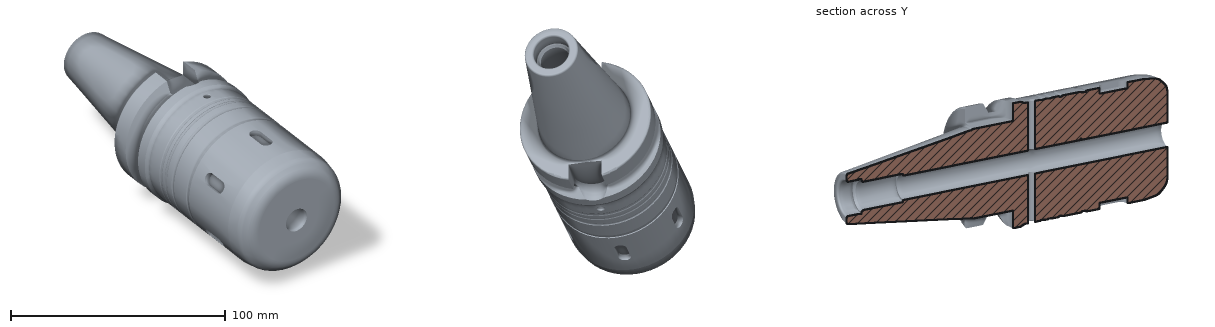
import cadquery as cq
import math


GAUGE_DIAMETER = 44.45
TAPER_LENGTH = 65.4
TAPER_RATIO = 7 / 24
TAPER_TIP_DIAMETER = GAUGE_DIAMETER - TAPER_LENGTH * TAPER_RATIO
TIP_ROUND = 1.0

NECK_FILLET_RADIUS = 1.25

FLANGE_FACE = 2.0
FLANGE_END = 27.0
FLANGE_DIAMETER = 63.0
FLANGE_ROUND = 1.0
V_GROOVE_CENTRE = 16.6
V_GROOVE_WIDTH = 10.0
V_GROOVE_FLOOR_DIAMETER = 53.0
V_GROOVE_FLANK_ANGLE = 30

KEYWAY_WIDTH = 16.0
KEYWAY_FLOOR = 22.6
KEYWAY_END = 22.8

BODY_DIAMETER = 61.0
BODY_START = 29.2
NOSE_LENGTH = 105.0
RING_GROOVE_DIAMETER = 60.6
GROOVE_WALL_SLOPE = 0.5
FIRST_GROOVE_START = 37.4
FIRST_GROOVE_END = 39.8
SECOND_GROOVE_START = 41.7
SECOND_GROOVE_END = 43.6
ROUND_GROOVE_START = 47.3
ROUND_GROOVE_END = 49.2
ROUND_GROOVE_DIAMETER = 60.0
NUT_GAP_DIAMETER = 60.0
NUT_GAP_START = 59.0
NUT_GAP_END = 61.5

NOSE_CONE_START = 92.9
NOSE_CONE_ANGLE = 10
NOSE_CHAMFER_ANGLE = 45
NOSE_FACE_DIAMETER = 43.5
NOSE_FACE_ROUND = 6.3
NOSE_CHAMFER_START = 101.2
NOSE_CORNER_ROUND = 5.0

SLOT_COUNT = 6
SLOT_CENTRE = 76.3
SLOT_LENGTH = 14.4
SLOT_WIDTH = 6.0
SLOT_DEPTH = 3.0

RADIAL_HOLE_DIAMETER = 3.4
RADIAL_HOLE_MOUTH_DIAMETER = 4.0
RADIAL_HOLE_CENTRE = 32.9

BORE_MOUTH_ROUND = 1.0
PILOT_DIAMETER = 17.0
PILOT_DEPTH = 6.8
UNDERCUT_DIAMETER = 17.4
UNDERCUT_WIDTH = 1.0
THREAD_MOUTH_DIAMETER = 16.0
THREAD_DIAMETER = 14.0
THREAD_END_DEPTH = 30.0
THROUGH_DIAMETER = 12.0


def polar_offset(radius, degrees):
    angle = math.radians(degrees)
    return radius * math.cos(angle), radius * math.sin(angle)


def rounded_corner(outline, centre, radius, start_angle, end_angle):
    """Line to the start of an arc about the given centre, then follow the arc to its end."""
    def arc_point(degrees):
        dx, dr = polar_offset(radius, degrees)
        return centre[0] + dx, centre[1] + dr

    middle_angle = (start_angle + end_angle) / 2
    outline = outline.lineTo(*arc_point(start_angle))
    return outline.threePointArc(arc_point(middle_angle), arc_point(end_angle))


def line_through(outline, points):
    for point in points:
        outline = outline.lineTo(*point)
    return outline


def shank_outline(outline):
    """Rounded tip, taper and short straight neck, filleted up to the flange face."""
    gauge_radius = GAUGE_DIAMETER / 2
    taper_angle = math.degrees(math.atan(TAPER_RATIO / 2))
    flank_offset = TIP_ROUND / math.cos(math.radians(taper_angle))
    flank_radius = TAPER_TIP_DIAMETER / 2 + TIP_ROUND * TAPER_RATIO / 2
    tip_centre = (TIP_ROUND - TAPER_LENGTH, flank_radius - flank_offset)
    fillet_centre = (FLANGE_FACE - NECK_FILLET_RADIUS, gauge_radius + NECK_FILLET_RADIUS)
    outline = rounded_corner(outline, tip_centre, TIP_ROUND, 180, 90 + taper_angle)
    outline = outline.lineTo(0, gauge_radius)
    return rounded_corner(outline, fillet_centre, NECK_FILLET_RADIUS, -90, 0)


def flange_outline(outline):
    """Rounded flange rim, V groove and slope down to the body."""
    flange_radius = FLANGE_DIAMETER / 2
    floor_radius = V_GROOVE_FLOOR_DIAMETER / 2
    half_top = V_GROOVE_WIDTH / 2
    half_floor = half_top - (flange_radius - floor_radius) * math.tan(math.radians(V_GROOVE_FLANK_ANGLE))
    rim_centre = (FLANGE_FACE + FLANGE_ROUND, flange_radius - FLANGE_ROUND)
    outline = rounded_corner(outline, rim_centre, FLANGE_ROUND, 180, 90)
    return line_through(outline, [
        (V_GROOVE_CENTRE - half_top, flange_radius),
        (V_GROOVE_CENTRE - half_floor, floor_radius),
        (V_GROOVE_CENTRE + half_floor, floor_radius),
        (V_GROOVE_CENTRE + half_top, flange_radius),
        (FLANGE_END, flange_radius),
        (BODY_START, BODY_DIAMETER / 2),
    ])


def groove_outline(outline, start, end, floor_diameter, start_slope, end_slope):
    """Groove in the body; each slope is the axial run of that wall."""
    body_radius = BODY_DIAMETER / 2
    floor_radius = floor_diameter / 2
    return line_through(outline, [
        (start, body_radius),
        (start + start_slope, floor_radius),
        (end - end_slope, floor_radius),
        (end, body_radius),
    ])


def body_outline(outline):
    body_radius = BODY_DIAMETER / 2
    slope = GROOVE_WALL_SLOPE
    outline = groove_outline(
        outline, FIRST_GROOVE_START, FIRST_GROOVE_END, RING_GROOVE_DIAMETER, slope, slope)
    outline = groove_outline(
        outline, SECOND_GROOVE_START, SECOND_GROOVE_END, RING_GROOVE_DIAMETER, 0, slope)
    round_middle = ((ROUND_GROOVE_START + ROUND_GROOVE_END) / 2, ROUND_GROOVE_DIAMETER / 2)
    outline = outline.lineTo(ROUND_GROOVE_START, body_radius)
    outline = outline.threePointArc(round_middle, (ROUND_GROOVE_END, body_radius))
    return groove_outline(outline, NUT_GAP_START, NUT_GAP_END, NUT_GAP_DIAMETER, slope, 0)


def nose_outline(outline):
    """Shallow cone and chamfer, blended by tangent arcs and ending in the flat face."""
    cone_normal = 90 - NOSE_CONE_ANGLE
    chamfer_normal = 90 - NOSE_CHAMFER_ANGLE
    face_centre = (NOSE_LENGTH - NOSE_FACE_ROUND, NOSE_FACE_DIAMETER / 2)
    dx, dr = polar_offset(NOSE_FACE_ROUND, chamfer_normal)
    chamfer_end = (face_centre[0] + dx, face_centre[1] + dr)
    chamfer_rise = (chamfer_end[0] - NOSE_CHAMFER_START) * math.tan(math.radians(NOSE_CHAMFER_ANGLE))
    chamfer_start = (NOSE_CHAMFER_START, chamfer_end[1] + chamfer_rise)
    dx, dr = polar_offset(NOSE_CORNER_ROUND, chamfer_normal)
    corner_centre = (chamfer_start[0] - dx, chamfer_start[1] - dr)
    outline = outline.lineTo(NOSE_CONE_START, BODY_DIAMETER / 2)
    outline = rounded_corner(outline, corner_centre, NOSE_CORNER_ROUND, cone_normal, chamfer_normal)
    return rounded_corner(outline, face_centre, NOSE_FACE_ROUND, chamfer_normal, 0)


def outer_body():
    outline = cq.Workplane("XY").moveTo(-TAPER_LENGTH, 0)
    for section in (shank_outline, flange_outline, body_outline, nose_outline):
        outline = section(outline)
    return outline.lineTo(NOSE_LENGTH, 0).close().revolve(360, (0, 0, 0), (1, 0, 0))


def axial_bore():
    """Rounded mouth, pilot bore, undercut, countersunk thread bore and through hole."""
    pilot_radius = PILOT_DIAMETER / 2
    undercut_radius = UNDERCUT_DIAMETER / 2
    thread_mouth_radius = THREAD_MOUTH_DIAMETER / 2
    thread_radius = THREAD_DIAMETER / 2
    through_radius = THROUGH_DIAMETER / 2
    mouth_centre = (BORE_MOUTH_ROUND - TAPER_LENGTH, pilot_radius + BORE_MOUTH_ROUND)
    pilot_end = PILOT_DEPTH - TAPER_LENGTH
    undercut_end = pilot_end + UNDERCUT_WIDTH
    thread_start = undercut_end + thread_mouth_radius - thread_radius
    thread_end = THREAD_END_DEPTH - TAPER_LENGTH
    outline = cq.Workplane("XY").moveTo(-TAPER_LENGTH, 0)
    outline = rounded_corner(outline, mouth_centre, BORE_MOUTH_ROUND, 180, 270)
    outline = line_through(outline, [
        (pilot_end, pilot_radius),
        (pilot_end, undercut_radius),
        (undercut_end, undercut_radius),
        (undercut_end, thread_mouth_radius),
        (thread_start, thread_radius),
        (thread_end, thread_radius),
        (thread_end, through_radius),
        (NOSE_LENGTH, through_radius),
        (NOSE_LENGTH, 0),
    ])
    return outline.close().revolve(360, (0, 0, 0), (1, 0, 0))


def keyway():
    """Round-ended drive keyway on the +Z side, open toward the taper."""
    round_centre = KEYWAY_END - KEYWAY_WIDTH / 2
    half_width = KEYWAY_WIDTH / 2
    return (
        cq.Workplane("XY", origin=(0, 0, KEYWAY_FLOOR))
        .moveTo(0, -half_width)
        .lineTo(round_centre, -half_width)
        .threePointArc((KEYWAY_END, 0), (round_centre, half_width))
        .lineTo(0, half_width)
        .close()
        .extrude(FLANGE_DIAMETER / 2)
    )


def wrench_slot():
    """Round-ended flat-bottomed pocket on the +Z side of the nut."""
    floor = BODY_DIAMETER / 2 - SLOT_DEPTH
    return (
        cq.Workplane("XY", origin=(SLOT_CENTRE, 0, floor))
        .slot2D(SLOT_LENGTH, SLOT_WIDTH)
        .extrude(2 * SLOT_DEPTH)
    )


def radial_hole():
    """Cross hole through both walls, countersunk where it meets the body surface."""
    countersink_depth = (RADIAL_HOLE_MOUTH_DIAMETER - RADIAL_HOLE_DIAMETER) / 2
    surface = BODY_DIAMETER / 2
    hole_radius = RADIAL_HOLE_DIAMETER / 2
    mouth_radius = RADIAL_HOLE_MOUTH_DIAMETER / 2
    return (
        cq.Workplane("XZ", origin=(RADIAL_HOLE_CENTRE, 0, 0))
        .moveTo(0, -surface)
        .lineTo(mouth_radius, -surface)
        .lineTo(hole_radius, countersink_depth - surface)
        .lineTo(hole_radius, surface - countersink_depth)
        .lineTo(mouth_radius, surface)
        .lineTo(0, surface)
        .close()
        .revolve(360, (0, 0, 0), (0, 1, 0))
    )


def turned_about_x(solid, angle):
    return solid.rotate((0, 0, 0), (1, 0, 0), angle)


result = outer_body().cut(axial_bore()).cut(radial_hole())
for keyway_angle in (0, 180):
    result = result.cut(turned_about_x(keyway(), keyway_angle))
for slot_index in range(SLOT_COUNT):
    result = result.cut(turned_about_x(wrench_slot(), slot_index * 360 / SLOT_COUNT))